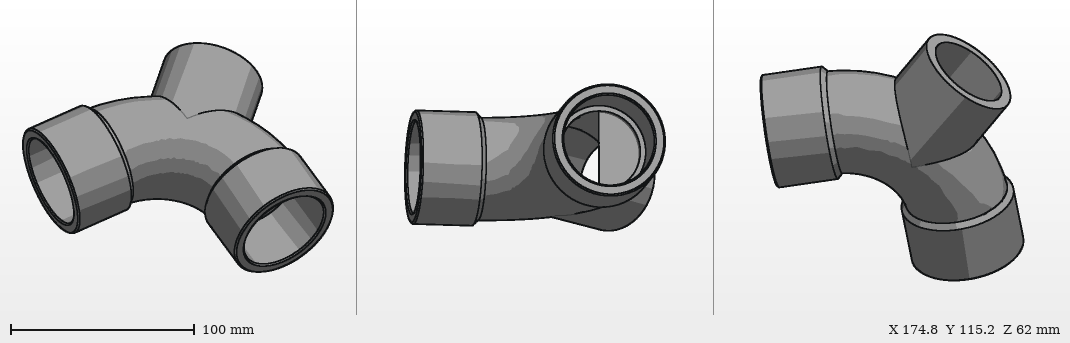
import cadquery as cq
import math

pipe_diameter = 56.0
pipe_bore = 44.0
socket_diameter = 62.0
socket_bore = 50.0
bend_radius = 62.0
bend_angle = 90
socket_reach = 31.5
socket_overlap = 4.7
rim_chamfer = 0.9
bore_chamfer = 0.9
overall_depth = 115.2

pipe_radius = pipe_diameter / 2
socket_radius = socket_diameter / 2
bore_radius = socket_bore / 2
socket_back = -socket_overlap
taper_length = socket_radius - pipe_radius

half_angle = math.radians(bend_angle / 2)
front_y = (
    (bend_radius - socket_radius) * math.cos(half_angle)
    - (socket_reach - rim_chamfer) * math.sin(half_angle)
)
spigot_end = front_y + overall_depth


def bend(diameter):
    """Solid quarter ring of round section, symmetric about the Y axis."""
    return (
        cq.Workplane("XZ")
        .center(bend_radius, 0)
        .circle(diameter / 2)
        .revolve(bend_angle, (-bend_radius, 0, 0), (-bend_radius, 1, 0))
        .rotate((0, 0, 0), (0, 0, 1), 90 - bend_angle / 2)
    )


def spigot(diameter):
    """Solid straight cylinder from the bend centreline to the spigot end."""
    return (
        cq.Workplane("XZ", origin=(0, bend_radius, 0))
        .circle(diameter / 2)
        .extrude(bend_radius - spigot_end)
    )


def turned(profile, side):
    """Revolve a (radius, distance) profile about the pipe axis at one bend end."""
    outward = (side * math.sin(half_angle), math.cos(half_angle), 0)
    end_centre = tuple(bend_radius * part for part in outward)
    plane = cq.Plane(origin=end_centre, xDir=outward, normal=(0, 0, -side))
    return cq.Workplane(plane).polyline(profile).close().revolve(360, (0, 0, 0), (0, 1, 0))


socket_profile = [
    (0, socket_back),
    (pipe_radius, socket_back),
    (socket_radius, socket_back + taper_length),
    (socket_radius, socket_reach - rim_chamfer),
    (socket_radius - rim_chamfer, socket_reach),
    (0, socket_reach),
]
socket_bore_profile = [
    (0, 0),
    (bore_radius, 0),
    (bore_radius, socket_reach - bore_chamfer),
    (bore_radius + bore_chamfer, socket_reach),
    (0, socket_reach),
]

body = bend(pipe_diameter).union(spigot(pipe_diameter))
for side in (-1, 1):
    body = body.union(turned(socket_profile, side))

body = body.cut(bend(pipe_bore)).cut(spigot(pipe_bore))
for side in (-1, 1):
    body = body.cut(turned(socket_bore_profile, side))

result = body